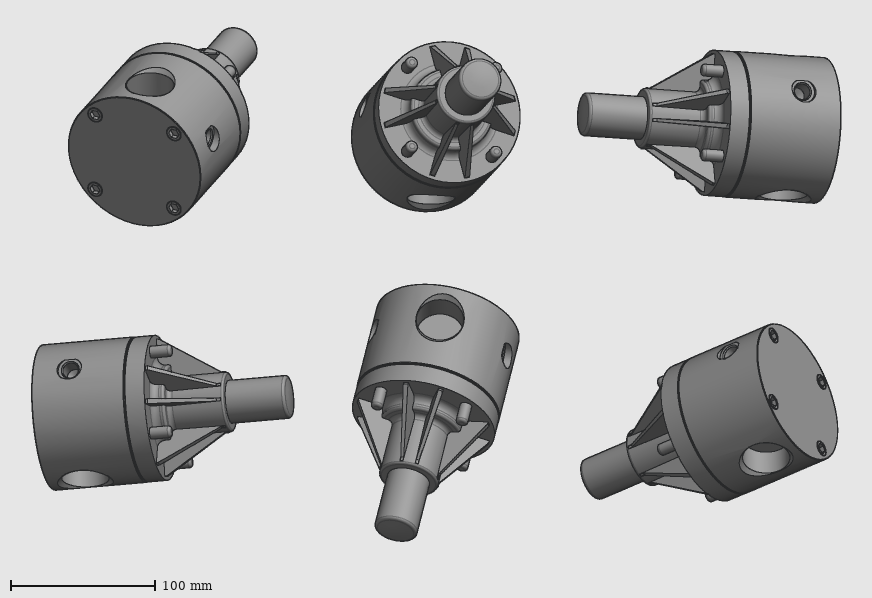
import cadquery as cq
import math


groove_start = 65.9
groove_end = 66.7
flange_end = 80.5
shoulder_end = 89.6
hub_end = 129.8
shaft_tip = 173.3

body_radius = 101.5 / 2
flange_radius = 50.6
groove_radius = 50.1
shoulder_radius = 29.5
hub_radius = 41.6 / 2
shaft_radius = 30.0 / 2

edge_chamfer = 0.5
shoulder_foot_fillet = 5.4
shoulder_round = 2.0
hub_fillet = 3.5
hub_round = 1.5
shaft_round = 2.0
dome_height = 1.2

rib_angle = 15.0
rib_start = 127.7
rib_bend = 124.8
rib_tip_radius = 21.3
rib_foot_radius = 48.0
rib_foot_land = 1.4
rib_tip_width = 2.0
rib_foot_width = 3.5

screw_offset = 30.2
screw_diameter = 8.3
screw_end = 95.3
screw_end_round = 2.3
head_hole_diameter = 11.1
head_face_diameter = 10.2
hex_flats = 6.5
hex_depth = 3.5

port_y = 26.3
main_port_radius = 16.5
main_port_rim_radius = 19.5
main_port_floor = 28.8
side_port_z = 16.3
spotface_radius = 8.7
spotface_floor = 44.7
side_hole_radius = 11.1 / 2
side_hole_rim_radius = 6.4
side_hole_depth = 13.9
drill_half_angle = 59.0
cut_radius = body_radius + 1.7


def corner_arc(profile, center, radius, middle_angle, end_angle):
    """Add a circular arc around center, given the angles of its middle and end points."""
    points = []
    for angle in (middle_angle, end_angle):
        turn = math.radians(angle)
        points.append((center[0] + radius * math.cos(turn), center[1] + radius * math.sin(turn)))
    return profile.threePointArc(points[0], points[1])


def turned_shape():
    """Body, groove, flange, shoulder, hub and shaft in one revolved outline."""
    outline = cq.Workplane("XY").moveTo(0, 0)
    outline = outline.lineTo(body_radius - edge_chamfer, 0).lineTo(body_radius, edge_chamfer)
    outline = outline.lineTo(body_radius, groove_start - edge_chamfer)
    outline = outline.lineTo(body_radius - edge_chamfer, groove_start).lineTo(groove_radius, groove_start)
    outline = outline.lineTo(groove_radius, groove_end).lineTo(flange_radius, groove_end)
    outline = outline.lineTo(flange_radius, flange_end)

    foot_center = (shoulder_radius + shoulder_foot_fillet, flange_end + shoulder_foot_fillet)
    outline = outline.lineTo(foot_center[0], flange_end)
    outline = corner_arc(outline, foot_center, shoulder_foot_fillet, 225, 180)
    round_center = (shoulder_radius - shoulder_round, shoulder_end - shoulder_round)
    outline = outline.lineTo(shoulder_radius, round_center[1])
    outline = corner_arc(outline, round_center, shoulder_round, 45, 90)
    fillet_center = (hub_radius + hub_fillet, shoulder_end + hub_fillet)
    outline = outline.lineTo(fillet_center[0], shoulder_end)
    outline = corner_arc(outline, fillet_center, hub_fillet, 225, 180)

    round_center = (hub_radius - hub_round, hub_end - hub_round)
    outline = outline.lineTo(hub_radius, round_center[1])
    outline = corner_arc(outline, round_center, hub_round, 45, 90)

    outline = outline.lineTo(shaft_radius, hub_end)
    dome_start = shaft_tip - dome_height
    round_center = (shaft_radius - shaft_round, dome_start - shaft_round)
    outline = outline.lineTo(shaft_radius, round_center[1])
    outline = corner_arc(outline, round_center, shaft_round, 45, 90)
    dome_edge = round_center[0]
    dome_radius = (dome_edge**2 + dome_height**2) / (2 * dome_height)
    half_edge = dome_edge / 2
    half_height = shaft_tip - dome_radius + math.sqrt(dome_radius**2 - half_edge**2)
    outline = outline.threePointArc((half_edge, half_height), (0, shaft_tip))
    return outline.close().revolve(360, (0, 0, 0), (0, 1, 0))


def rib():
    """One rib along +X: a sloped plate whose width grows towards the flange."""
    side = cq.Workplane("XY").polyline([
        (0, flange_end), (rib_foot_radius, flange_end), (rib_foot_radius, flange_end + rib_foot_land),
        (rib_tip_radius, rib_bend), (rib_tip_radius, rib_start), (0, rib_start),
    ]).close().extrude(rib_foot_width, both=True)
    wedge = cq.Workplane("YZ").polyline([
        (flange_end, -rib_foot_width / 2), (rib_start, -rib_tip_width / 2),
        (rib_start, rib_tip_width / 2), (flange_end, rib_foot_width / 2),
    ]).close().extrude(rib_foot_radius)
    return side.intersect(wedge)


def along_y(x, z, start):
    """Workplane at the given spot that extrudes towards +Y."""
    return cq.Workplane(cq.Plane(origin=(x, start, z), xDir=(1, 0, 0), normal=(0, 1, 0)))


def screw_end_pin(x, z):
    """Rounded screw end that stands out of the flange."""
    pin = along_y(x, z, flange_end).circle(screw_diameter / 2).extrude(screw_end - flange_end)
    return pin.faces(">Y").edges().fillet(screw_end_round)


def head_recess(x, z):
    """Ring left around the chamfered screw head, and the hexagon socket in the head."""
    ring_depth = (head_hole_diameter - head_face_diameter) / 2
    hole = along_y(x, z, 0).circle(head_hole_diameter / 2).extrude(ring_depth)
    head = along_y(x, z, 0).circle(head_face_diameter / 2).workplane(offset=ring_depth)
    head = head.circle(head_hole_diameter / 2).loft()
    hex_corners = hex_flats / math.cos(math.pi / 6)
    socket = along_y(x, z, 0).polygon(6, hex_corners).extrude(hex_depth)
    return hole.cut(head).union(socket)


def main_port():
    """Blind port along +Z with a 45 degree rim."""
    rim_drop = main_port_rim_radius - main_port_radius
    return cq.Workplane("XZ").polyline([
        (0, main_port_floor), (main_port_radius, main_port_floor),
        (main_port_radius, body_radius - rim_drop), (main_port_rim_radius, body_radius),
        (main_port_rim_radius, cut_radius), (0, cut_radius),
    ]).close().revolve(360, (0, 0, 0), (0, 1, 0)).translate((0, port_y, 0))


def side_port():
    """Spot-faced drilled hole along +X with a chamfered rim and a cone bottom."""
    rim_drop = side_hole_rim_radius - side_hole_radius
    hole_end = spotface_floor - side_hole_depth
    cone_tip = hole_end - side_hole_radius / math.tan(math.radians(drill_half_angle))
    return cq.Workplane("XY").polyline([
        (cone_tip, 0), (hole_end, side_hole_radius), (spotface_floor - rim_drop, side_hole_radius),
        (spotface_floor, side_hole_rim_radius), (spotface_floor, spotface_radius),
        (cut_radius, spotface_radius), (cut_radius, 0),
    ]).close().revolve(360, (0, 0, 0), (1, 0, 0)).translate((0, port_y, side_port_z))


result = turned_shape()

for quarter in (0, 90, 180, 270):
    for lean in (-rib_angle, rib_angle):
        result = result.union(rib().rotate((0, 0, 0), (0, 1, 0), quarter + lean))

for x in (-screw_offset, screw_offset):
    for z in (-screw_offset, screw_offset):
        result = result.union(screw_end_pin(x, z)).cut(head_recess(x, z))

result = result.cut(main_port()).cut(main_port().mirror("XY"))
result = result.cut(side_port()).cut(side_port().mirror("YZ"))